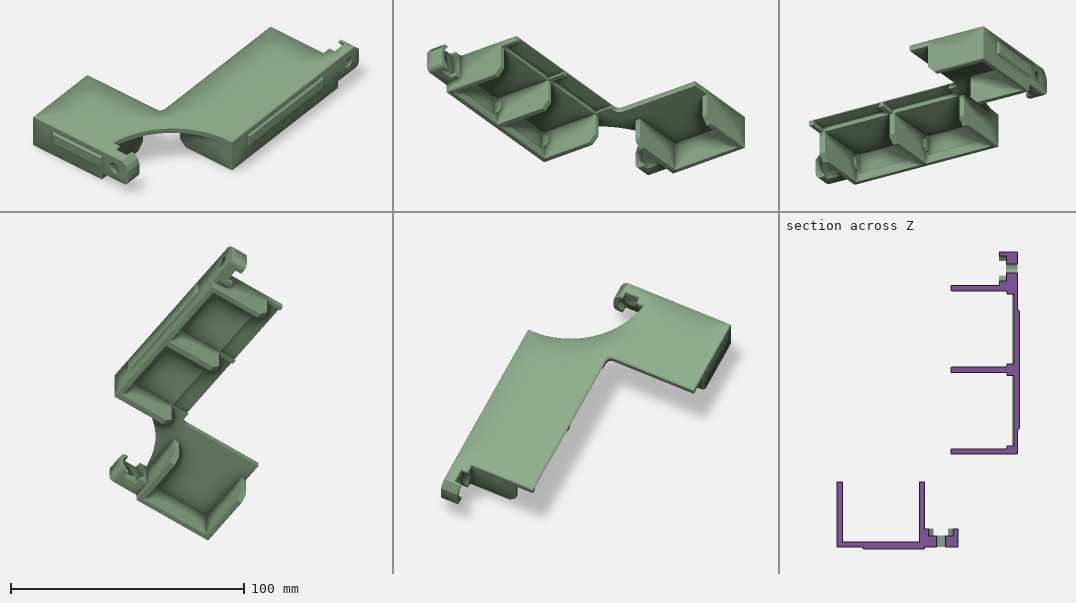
import cadquery as cq
import math

BODY_X = 77.5
BODY_Y = 112.3
HEIGHT = 15.7
PLATE_T = 2.7
WALL_T = 2.2
EDGE_CHAMFER = 0.4
INNER_EDGE_SETBACK = 0.8
UNDERSIDE_Z = HEIGHT - PLATE_T

REAR_BLOCK_X = 40.6
FRONT_BLOCK_Y = 37.1
INNER_CORNER_R = 2.5
ARC_R = 37.6
ARC_X = 75.3
ARC_TOP_Y = 39.7
ARC_Y = ARC_TOP_Y - ARC_R

RIB_T = 2.5
RIB_FRONT_X = 48.9
RIB_END_CHAMFER = 3.2
BAY_EDGE_CHAMFER = 0.4
FRONT_BAY_END_X = 37.8
FRONT_RIB_LENGTH = 28.1
RIB_PITCH = (BODY_Y - ARC_TOP_Y - RIB_T) / 2
RIB_STARTS_Y = [ARC_TOP_Y + i * RIB_PITCH for i in range(3)]

LIP_T = 0.8
LIP_RECESS_DEPTH = RIB_FRONT_X - REAR_BLOCK_X
LIP_POST = 1.9
LIP_POST_FLARE = 1.0
POCKET_DEPTH = 0.6
POCKET_BOTTOM_Z = 3.6
CLIP_WIDTH = 1.3
CLIP_DEPTH = 2.5
CLIP_BOTTOM_Z = 5.2
CLIP_TOP_Z = 10.6
CLIP_CHAMFER = 1.7

LUG_T = 7.8
LUG_BOTTOM_Z = 3.6
LUG_RADIUS = 2.2
FRONT_LUG_END_X = 52.0
FRONT_LUG_CHAMFER = 3.0
LUG_TIP_BEVEL_X = 1.0
FRONT_LUG_SLOPE_Z = 4.3
REAR_LUG_END_Y = 126.7
REAR_LUG_CHAMFER_Y = 2.9
REAR_LUG_CHAMFER_Z = 3.2
SCREW_D = 5.2
SCREW_Z = 9.7
HEAD_D = 11.2
HEAD_DEPTH = 2.9
HEAD_SLOT = 6.3
FRONT_SCREW_FROM_END = 7.4
REAR_SCREW_FROM_END = 7.3

PAD_T = 0.9
PAD_BEVEL = 0.8
PAD_BOTTOM_Z = 6.8
PAD_TOP_Z = 12.9
FRONT_PAD_X = 10.8
SIDE_PAD_Y = (50.3, 101.8)


def block(x_span, y_span, z_span):
    """Box filling the given X, Y and Z spans."""
    size = [span[1] - span[0] for span in (x_span, y_span, z_span)]
    corner = (x_span[0], y_span[0], z_span[0])
    return cq.Workplane("XY").box(*size, centered=False).translate(corner)


def make_plate():
    """Cover plate with the concave arc, the screw slots and a chamfered top rim."""
    arc_end_x = ARC_X - math.sqrt(ARC_R**2 - (LUG_T - ARC_Y) ** 2)
    arc_mid = (ARC_X - ARC_R * math.sqrt(0.5), ARC_Y + ARC_R * math.sqrt(0.5))
    plate = (
        cq.Workplane("XY")
        .workplane(offset=UNDERSIDE_Z)
        .lineTo(FRONT_LUG_END_X, 0)
        .lineTo(FRONT_LUG_END_X, LUG_T)
        .lineTo(arc_end_x, LUG_T)
        .threePointArc(arc_mid, (ARC_X, ARC_TOP_Y))
        .lineTo(BODY_X, ARC_TOP_Y)
        .lineTo(BODY_X, REAR_LUG_END_Y)
        .lineTo(BODY_X - LUG_T, REAR_LUG_END_Y)
        .lineTo(BODY_X - LUG_T, BODY_Y)
        .lineTo(REAR_BLOCK_X, BODY_Y)
        .lineTo(REAR_BLOCK_X, FRONT_BLOCK_Y)
        .lineTo(0, FRONT_BLOCK_Y)
        .close()
        .extrude(PLATE_T)
    )
    inner_corner = cq.selectors.NearestToPointSelector(
        (REAR_BLOCK_X, FRONT_BLOCK_Y, HEIGHT - PLATE_T / 2)
    )
    plate = plate.edges(inner_corner).fillet(INNER_CORNER_R)
    for slot in (front_slot(), rear_slot()):
        plate = plate.cut(slot)
    plate = plate.faces(">Z").edges(inner_edges()).chamfer(EDGE_CHAMFER, INNER_EDGE_SETBACK)
    return plate.faces(">Z").edges(cq.selectors.InverseSelector(inner_edges())).chamfer(EDGE_CHAMFER)


def inner_edges():
    """Selector for the plate edges that meet in the rounded inner corner of the L."""
    margin = 1.3
    low = (-margin, FRONT_BLOCK_Y - margin, 0)
    high = (REAR_BLOCK_X + margin, BODY_Y + margin, HEIGHT + margin)
    return cq.selectors.BoxSelector(low, high, boundingbox=True)


def front_slot():
    """Open slot for the screw head on the inner face of the front lug."""
    center_x = FRONT_LUG_END_X - FRONT_SCREW_FROM_END
    x_span = (center_x - HEAD_SLOT / 2, center_x + HEAD_SLOT / 2)
    return block(x_span, (LUG_T - HEAD_DEPTH, LUG_T), (0, HEIGHT))


def rear_slot():
    """Open slot for the screw head on the inner face of the rear lug."""
    center_y = REAR_LUG_END_Y - REAR_SCREW_FROM_END
    inner_x = BODY_X - LUG_T
    y_span = (center_y - HEAD_SLOT / 2, center_y + HEAD_SLOT / 2)
    return block((inner_x, inner_x + HEAD_DEPTH), y_span, (0, HEIGHT))


def make_front_walls():
    """Front wall with the two ribs that close the front bay."""
    walls = block((0, FRONT_BAY_END_X), (0, WALL_T), (0, UNDERSIDE_Z))
    for rib_x in (0, FRONT_BAY_END_X - RIB_T):
        rib = block((rib_x, rib_x + RIB_T), (0, FRONT_RIB_LENGTH), (0, UNDERSIDE_Z))
        walls = walls.union(rib.edges(">Y and <Z").chamfer(RIB_END_CHAMFER))
    return walls.edges("<X and <Z").chamfer(EDGE_CHAMFER)


def make_rear_walls():
    """Side wall with the three ribs that separate the two rear bays."""
    walls = block((BODY_X - WALL_T, BODY_X), (ARC_TOP_Y, BODY_Y), (0, UNDERSIDE_Z))
    bay_side_edges = (">Y", "|Z", "<Y")
    for rib_y, bay_side in zip(RIB_STARTS_Y, bay_side_edges):
        rib = block((RIB_FRONT_X, BODY_X), (rib_y, rib_y + RIB_T), (0, UNDERSIDE_Z))
        rib = rib.faces("<X").edges("|Z").edges(bay_side).chamfer(BAY_EDGE_CHAMFER)
        walls = walls.union(rib.cut(rib_end_wedge()))
    return walls.faces(">Y").edges("<Z").chamfer(EDGE_CHAMFER)


def rib_end_wedge():
    """Cutter for the sloped lower front end of the rear ribs."""
    return (
        cq.Workplane("XZ")
        .moveTo(RIB_FRONT_X, 0)
        .lineTo(RIB_FRONT_X + RIB_END_CHAMFER, 0)
        .lineTo(RIB_FRONT_X, RIB_END_CHAMFER)
        .close()
        .extrude(-BODY_Y)
    )


def make_front_lug():
    """Lug at the right end of the front wall, rounded below and sloped above."""
    lug = block((FRONT_BAY_END_X, FRONT_LUG_END_X), (0, LUG_T), (LUG_BOTTOM_Z, UNDERSIDE_Z))
    return lug.edges(">X and <Z").fillet(LUG_RADIUS)


def make_rear_lug():
    """Lug at the back end of the side wall, rounded below and backed by a wall at its root."""
    z_span = (LUG_BOTTOM_Z, UNDERSIDE_Z)
    lug = block((BODY_X - LUG_T, BODY_X), (BODY_Y, REAR_LUG_END_Y), z_span)
    root = block((BODY_X - WALL_T, BODY_X), (BODY_Y, BODY_Y + LUG_RADIUS), z_span)
    return lug.faces("<Z").edges("|X").fillet(LUG_RADIUS).union(root)


def front_lug_cuts():
    """Twice-bevelled top end, screw hole and head pocket of the front lug."""
    corner = (
        cq.Workplane("XZ")
        .moveTo(FRONT_LUG_END_X, HEIGHT)
        .lineTo(FRONT_LUG_END_X - FRONT_LUG_CHAMFER, HEIGHT)
        .lineTo(FRONT_LUG_END_X - LUG_TIP_BEVEL_X, HEIGHT - FRONT_LUG_CHAMFER + LUG_TIP_BEVEL_X)
        .lineTo(FRONT_LUG_END_X, HEIGHT - FRONT_LUG_SLOPE_Z)
        .close()
        .extrude(-LUG_T)
    )
    axis = cq.Workplane("XZ").center(FRONT_LUG_END_X - FRONT_SCREW_FROM_END, SCREW_Z)
    hole = axis.circle(SCREW_D / 2).extrude(-LUG_T)
    head = axis.workplane(offset=-LUG_T).circle(HEAD_D / 2).extrude(HEAD_DEPTH)
    return corner.union(hole).union(head).union(front_slot())


def rear_lug_cuts():
    """Sloped top end, screw hole and head pocket of the rear lug."""
    inner_x = BODY_X - LUG_T
    corner = (
        cq.Workplane("YZ")
        .workplane(offset=inner_x)
        .moveTo(REAR_LUG_END_Y, HEIGHT)
        .lineTo(REAR_LUG_END_Y - REAR_LUG_CHAMFER_Y, HEIGHT)
        .lineTo(REAR_LUG_END_Y, HEIGHT - REAR_LUG_CHAMFER_Z)
        .close()
        .extrude(LUG_T)
    )
    axis = cq.Workplane("YZ").workplane(offset=inner_x)
    axis = axis.center(REAR_LUG_END_Y - REAR_SCREW_FROM_END, SCREW_Z)
    hole = axis.circle(SCREW_D / 2).extrude(LUG_T)
    head = axis.circle(HEAD_D / 2).extrude(HEAD_DEPTH)
    return corner.union(hole).union(head).union(rear_slot())


def bay_cuts(bay_start, bay_end):
    """Recess below the plate lip and pocket in the side wall of one rear bay."""
    recess_start = bay_start - RIB_T + LIP_POST
    recess_end = bay_end + RIB_T - LIP_POST
    lip_recess = (
        cq.Workplane("YZ")
        .workplane(offset=REAR_BLOCK_X)
        .moveTo(recess_start + LIP_POST_FLARE, UNDERSIDE_Z)
        .lineTo(recess_end, UNDERSIDE_Z)
        .lineTo(recess_end, HEIGHT - LIP_T)
        .lineTo(recess_start, HEIGHT - LIP_T)
        .close()
        .extrude(LIP_RECESS_DEPTH)
    )
    inner_x = BODY_X - WALL_T
    pocket_span = (bay_start + CLIP_WIDTH, bay_end - CLIP_WIDTH)
    pocket = block((inner_x, inner_x + POCKET_DEPTH), pocket_span, (POCKET_BOTTOM_Z, UNDERSIDE_Z))
    return lip_recess.union(pocket)


def bay_clips(bay_start, bay_end):
    """Pair of clips in the far corners of one rear bay, sloped below."""
    inner_x = BODY_X - WALL_T
    x_span = (inner_x - CLIP_DEPTH, inner_x)
    clips = cq.Workplane("XY")
    for clip_y in (bay_start, bay_end - CLIP_WIDTH):
        clip = block(x_span, (clip_y, clip_y + CLIP_WIDTH), (CLIP_BOTTOM_Z, CLIP_TOP_Z))
        clips = clips.add(clip.edges("<X and <Z").chamfer(CLIP_CHAMFER))
    return clips.combine()


def front_pad():
    """Raised pad on the front wall, ending square at the end of the front bay."""
    pad = block((FRONT_PAD_X, FRONT_BAY_END_X), (-PAD_T, 0), (PAD_BOTTOM_Z, PAD_TOP_Z))
    return pad.faces("<Y").edges("<X or >Z or <Z").chamfer(PAD_BEVEL)


def side_pad():
    """Raised pad on the side wall, bevelled all round."""
    pad = block((BODY_X, BODY_X + PAD_T), SIDE_PAD_Y, (PAD_BOTTOM_Z, PAD_TOP_Z))
    return pad.faces(">X").edges().chamfer(PAD_BEVEL)


result = make_plate()
for piece in (make_front_walls(), make_rear_walls(), make_front_lug(), make_rear_lug()):
    result = result.union(piece)
result = result.cut(front_lug_cuts()).cut(rear_lug_cuts())

for first_rib_y, next_rib_y in zip(RIB_STARTS_Y, RIB_STARTS_Y[1:]):
    bay = (first_rib_y + RIB_T, next_rib_y)
    result = result.cut(bay_cuts(*bay)).union(bay_clips(*bay))

result = result.union(front_pad()).union(side_pad())